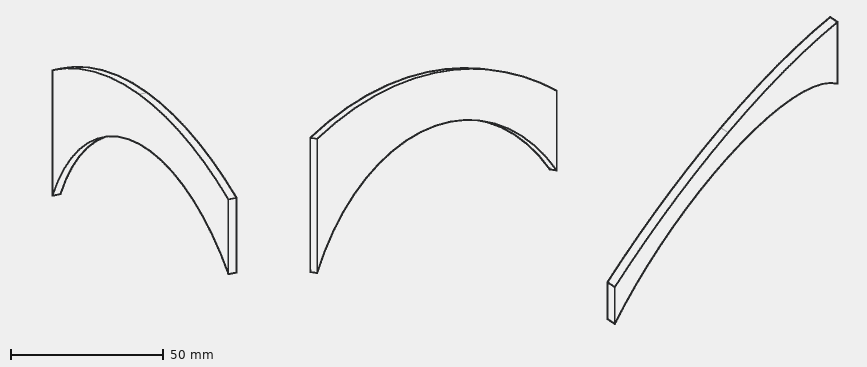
import cadquery as cq

length = 122.0
thickness = 3.0
height = 58.7
crown_x = 59.9
left_end_top = 44.9
right_end_top = 44.2
right_end_bottom = 17.5
inner_crown_x = 66.6
inner_crown_z = 41.2


def crown_radius(run, drop):
    """Radius of an arc that is level at the crown and falls by drop over run."""
    return (run**2 + drop**2) / (2 * drop)


right_radius = crown_radius(length - crown_x, height - right_end_top)
left_radius = crown_radius(crown_x, height - left_end_top)

outline = (
    cq.Workplane("XZ")
    .threePointArc((inner_crown_x, inner_crown_z), (length, right_end_bottom))
    .lineTo(length, right_end_top)
    .radiusArc((crown_x, height), -right_radius)
    .radiusArc((0, left_end_top), -left_radius)
    .close()
)

result = outline.extrude(-thickness)